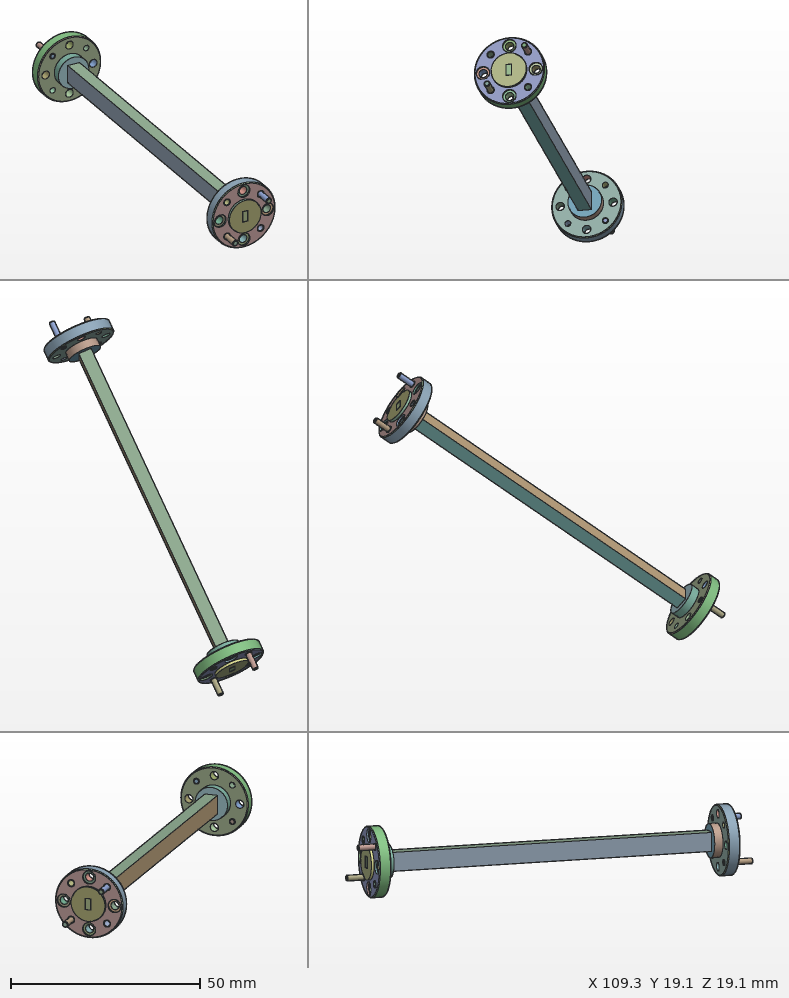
import cadquery as cq
import math

mating_length = 101.6
overall_length = 109.35

boss_diameter = 9.525
boss_height = 0.762
flange_diameter = 19.05
flange_thickness = 3.302
flange_chamfer = 0.254
hub_diameter = 9.144
hub_length = 2.286

tube_width = 3.58
tube_height = 5.13
aperture_width = 1.55
aperture_height = 3.1
aperture_depth = 0.1

hole_circle_radius = 14.3 / 2
screw_hole_diameter = 2.26
screw_bore_diameter = 3.6
screw_bore_depth = 0.5
screw_hole_angles = (0, 90, 180, 270)
pin_diameter = 1.6
pin_chamfer = 0.2
pin_angles = (45, 225)
free_hole_angles = (135, 315)
pin_bore_diameter = 1.95
pin_bore_depth = 0.15

mating_face = mating_length / 2
flange_front = mating_face - boss_height
flange_back = flange_front - flange_thickness
hub_end = flange_back - hub_length
pin_tip = overall_length / 2


def circle_point(angle):
    """Point on the hole circle at an angle in degrees from the Y axis."""
    turn = math.radians(angle)
    return (hole_circle_radius * math.cos(turn), hole_circle_radius * math.sin(turn))


def at_station(x):
    """Workplane facing +X, with local axes Y and Z."""
    return cq.Workplane("YZ", origin=(x, 0, 0))


def opposite_end(shape):
    """Turn a shape made at the +X end half a turn about Z, to the -X end."""
    return shape.rotate((0, 0, 0), (0, 0, 1), 180)


def recessed_holes(angles, diameter, bore_diameter, bore_depth):
    """Cutters for holes through the flange, counterbored from its front."""
    points = [circle_point(angle) for angle in angles]
    holes = at_station(flange_back).pushPoints(points).circle(diameter / 2).extrude(flange_thickness)
    bores = at_station(flange_front - bore_depth).pushPoints(points).circle(bore_diameter / 2)
    return holes.union(bores.extrude(bore_depth + boss_height))


def make_flange():
    """Flange at the +X end with boss, hub and all its holes."""
    disc = at_station(flange_back).circle(flange_diameter / 2).extrude(flange_thickness)
    disc = disc.edges().chamfer(flange_chamfer)
    boss = at_station(flange_front).circle(boss_diameter / 2).extrude(boss_height)
    hub = at_station(hub_end).circle(hub_diameter / 2).extrude(hub_length)

    screw_holes = recessed_holes(screw_hole_angles, screw_hole_diameter, screw_bore_diameter, screw_bore_depth)
    pin_holes = recessed_holes(pin_angles + free_hole_angles, pin_diameter, pin_bore_diameter, pin_bore_depth)
    return disc.union(boss).union(hub).cut(screw_holes).cut(pin_holes)


def make_waveguide():
    """Tube with a flange on each end, as one solid."""
    tube = at_station(-hub_end).rect(tube_width, tube_height).extrude(2 * hub_end)
    aperture = at_station(mating_face - aperture_depth).rect(aperture_width, aperture_height)
    flange = make_flange().cut(aperture.extrude(aperture_depth))
    return tube.union(flange).union(opposite_end(flange))


def make_pin(angle):
    """Alignment pin of the +X flange, flush with its back face and chamfered at both ends."""
    pin = at_station(flange_back).pushPoints([circle_point(angle)]).circle(pin_diameter / 2)
    return pin.extrude(pin_tip - flange_back).edges("%CIRCLE").chamfer(pin_chamfer)


waveguide = make_waveguide()

pins = []
for pin_angle in pin_angles:
    pin = make_pin(pin_angle)
    pins.append(pin.val())
    pins.append(opposite_end(pin).val())

result = cq.Compound.makeCompound([waveguide.val(), *pins])